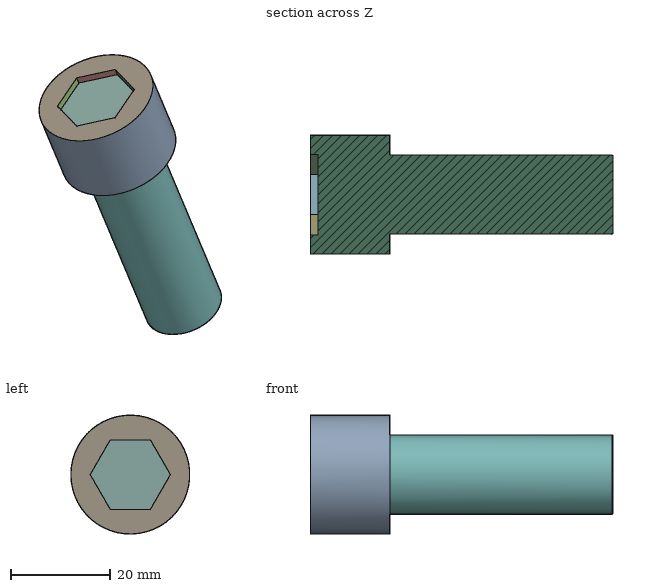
import cadquery as cq
import math

head_diameter = 24.0
head_height = 16.0
shank_diameter = 16.0
shank_length = 45.0
tip_chamfer = 0.2
socket_across_flats = 14.0
socket_depth = 1.5

socket_across_corners = socket_across_flats / math.cos(math.radians(30))


def make_head():
    """Plain cylindrical head, extending from X = 0 towards -X."""
    return cq.Workplane("YZ").circle(head_diameter / 2).extrude(-head_height)


def make_shank():
    """Plain shank extending towards +X, with a small chamfer on its tip."""
    shank = cq.Workplane("YZ").circle(shank_diameter / 2).extrude(shank_length)
    return shank.faces(">X").edges().chamfer(tip_chamfer)


def make_socket():
    """Blind hexagonal drive recess, with two of its corners along Y."""
    return (
        cq.Workplane("YZ", origin=(-head_height, 0, 0))
        .polygon(6, socket_across_corners)
        .extrude(socket_depth)
    )


result = make_head().union(make_shank()).cut(make_socket())